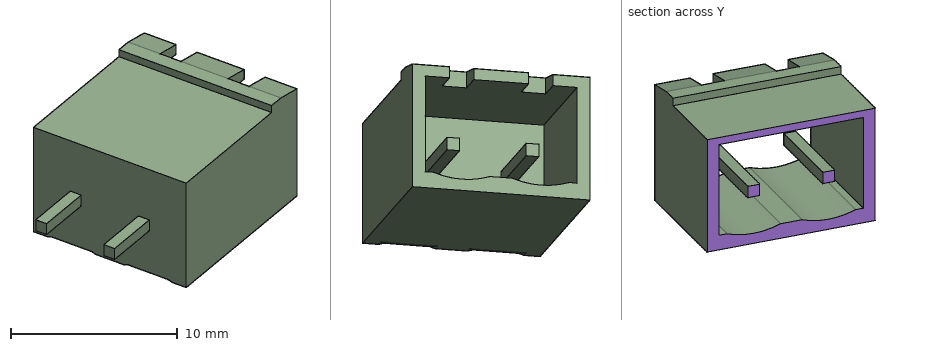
import cadquery as cq

BODY_WIDTH = 11.0
BODY_LENGTH = 12.0
BODY_HEIGHT = 7.5

RIDGE_HEIGHT = 0.5
RIDGE_LENGTH = 2.75
LEAD_IN_LENGTH = 1.75
LEAD_IN_DROP = 0.3

PITCH = 4.9
PIN_SIZE = 0.78
PIN_TAIL = 3.75
PIN_AXIS_Z = 3.5
PIN_TIP_Y = 10.0

CAVITY_DEPTH = 8.0
SIDE_WALL = 0.8
FLOOR_THICKNESS = 1.0
CAVITY_ROOF_Z = 7.0
SLOT_WIDTH = 1.5

TROUGH_WIDTH = 3.5
TROUGH_DEPTH = 0.3

RELIEF_WIDTH = 3.5
RELIEF_ROOF_WIDTH = 2.85
RELIEF_DEPTH = 0.1
RELIEF_LENGTH = 0.57
RELIEF_OFFSET = 2.75

CONTACT_POSITIONS = (-PITCH / 2, PITCH / 2)
RELIEF_POSITIONS = (-RELIEF_OFFSET, RELIEF_OFFSET)
CAVITY_BACK_Y = BODY_LENGTH - CAVITY_DEPTH


def block(x_centre, width, y_start, y_end, z_bottom, z_top):
    """Box centred on x_centre in X and given by its limits in Y and Z."""
    size = (width, y_end - y_start, z_top - z_bottom)
    corner = (x_centre - width / 2, y_start, z_bottom)
    return cq.Workplane("XY").box(*size, centered=False).translate(corner)


def make_housing():
    """Side profile of the housing with its ridge, extruded across the width."""
    ridge_top = BODY_HEIGHT + RIDGE_HEIGHT
    ridge_start = BODY_LENGTH - RIDGE_LENGTH
    return (
        cq.Workplane("YZ")
        .workplane(offset=-BODY_WIDTH / 2)
        .polyline([
            (0, 0),
            (BODY_LENGTH, 0),
            (BODY_LENGTH, ridge_top - LEAD_IN_DROP),
            (BODY_LENGTH - LEAD_IN_LENGTH, ridge_top),
            (ridge_start, ridge_top),
            (ridge_start, BODY_HEIGHT),
            (0, BODY_HEIGHT),
        ])
        .close()
        .extrude(BODY_WIDTH)
    )


def make_trough(x):
    """Circular segment hanging below the cavity floor, running the full cavity depth."""
    return (
        cq.Workplane("XZ", origin=(x, BODY_LENGTH, FLOOR_THICKNESS))
        .moveTo(-TROUGH_WIDTH / 2, 0)
        .threePointArc((0, -TROUGH_DEPTH), (TROUGH_WIDTH / 2, 0))
        .close()
        .extrude(CAVITY_DEPTH)
    )


def make_cavity():
    """Plug cavity with a trough in its floor below each contact."""
    cavity_width = BODY_WIDTH - 2 * SIDE_WALL
    cavity = block(0, cavity_width, CAVITY_BACK_Y, BODY_LENGTH, FLOOR_THICKNESS, CAVITY_ROOF_Z)
    for x in CONTACT_POSITIONS:
        cavity = cavity.union(make_trough(x))
    return cavity


def make_slot(x):
    """Keying slot through the roof, reaching from the mouth to the crest of the ridge."""
    slot_start = BODY_LENGTH - LEAD_IN_LENGTH
    ridge_top = BODY_HEIGHT + RIDGE_HEIGHT
    return block(x, SLOT_WIDTH, slot_start, BODY_LENGTH, CAVITY_ROOF_Z, ridge_top)


def make_pin(x):
    """Square contact from the solder tail, through the rear wall, into the cavity."""
    half = PIN_SIZE / 2
    return block(x, PIN_SIZE, -PIN_TAIL, PIN_TIP_Y, PIN_AXIS_Z - half, PIN_AXIS_Z + half)


def make_relief(x):
    """Trapezoidal relief, deepest at the rear face and sloping out to the underside."""
    face_outline = (
        cq.Workplane("XZ", origin=(x, 0, 0))
        .polyline([
            (-RELIEF_WIDTH / 2, 0),
            (-RELIEF_ROOF_WIDTH / 2, RELIEF_DEPTH),
            (RELIEF_ROOF_WIDTH / 2, RELIEF_DEPTH),
            (RELIEF_WIDTH / 2, 0),
        ])
        .close()
        .extrude(-RELIEF_LENGTH)
    )
    wedge = (
        cq.Workplane("YZ", origin=(x - RELIEF_WIDTH / 2, 0, 0))
        .polyline([(0, 0), (0, RELIEF_DEPTH), (RELIEF_LENGTH, 0)])
        .close()
        .extrude(RELIEF_WIDTH)
    )
    return face_outline.intersect(wedge)


result = make_housing().cut(make_cavity())
for position in RELIEF_POSITIONS:
    result = result.cut(make_relief(position))
for position in CONTACT_POSITIONS:
    result = result.cut(make_slot(position))
    result = result.union(make_pin(position))